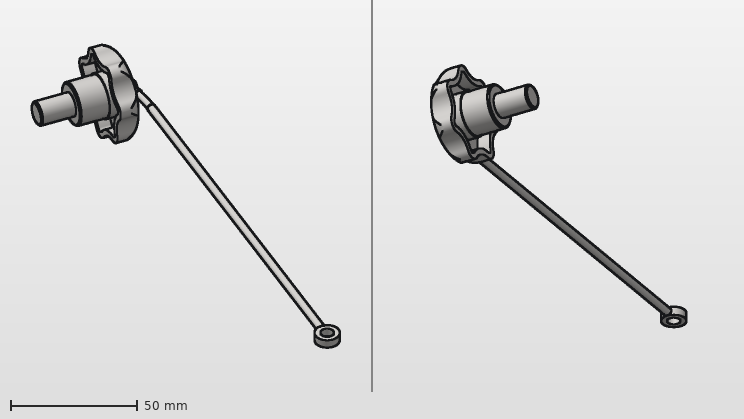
import cadquery as cq
import math


lobe_count = 7
tip_reach = 20.0
tip_radius = 4.1
tip_center_reach = tip_reach - tip_radius
flute_reach = 16.5
dome_reach = 20.0
crown_height = 11.7
crown_radius = 59.6
shoulder_reach = 15.2
wall = 2.5
pocket_depth = 5.8

collar_diameter = 19.0
hub_diameter = 18.0
hub_length = 12.7
stud_diameter = 10.0
stud_length = 15.0
edge_chamfer = 0.6

button_diameter = 8.0
button_base = 10.7
button_foot_diameter = 10.0
button_foot_height = 12.1
button_edge_height = 13.5
button_top = 15.2
button_top_diameter = 5.3
strap_diameter = 3.5
bend_diameter = 3.0
neck_diameter = 3.7
neck_end = 5.1
strap_height = 15.2
strap_start_height = 13.8
bend_end = 15.5
eye_diameter = 10.0
eye_thickness = 3.7
eye_hole_diameter = 5.3
overall_length = 205.5
half_lobe_pitch = math.pi / lobe_count
knob_half_width = tip_center_reach * math.cos(half_lobe_pitch / 2) + tip_radius
eye_center = overall_length - knob_half_width - eye_diameter / 2


def polar(radius, angle):
    return (radius * math.cos(angle), radius * math.sin(angle))


def cylinder(diameter, y_start, y_end):
    """Cylinder on the knob axis between two Y positions, y_end below y_start."""
    return cq.Workplane("XZ", origin=(0, y_start, 0)).circle(diameter / 2).extrude(y_start - y_end)


def lobed_outline(workplane):
    """Rounded tips joined by concave flutes that are tangent to them."""
    across = tip_center_reach * math.sin(half_lobe_pitch)
    drop = flute_reach - tip_center_reach * math.cos(half_lobe_pitch)
    flute_radius = (across**2 + drop**2 - tip_radius**2) / (2 * (tip_radius - drop))
    flute_center_reach = flute_reach + flute_radius
    joint_fraction = tip_radius / (tip_radius + flute_radius)

    def joint(tip_angle, side):
        tip = polar(tip_center_reach, tip_angle)
        flute = polar(flute_center_reach, tip_angle + side * half_lobe_pitch)
        return tuple(t + joint_fraction * (f - t) for t, f in zip(tip, flute))

    first_tip = -math.pi / 2
    outline = workplane.moveTo(*joint(first_tip, -1))
    for lobe in range(lobe_count):
        angle = first_tip + 2 * half_lobe_pitch * lobe
        next_angle = angle + 2 * half_lobe_pitch
        outline = outline.threePointArc(polar(tip_reach, angle), joint(angle, 1))
        outline = outline.threePointArc(polar(flute_reach, angle + half_lobe_pitch), joint(next_angle, -1))
    return outline.close()


def make_head():
    prism = lobed_outline(cq.Workplane("XZ")).extrude(-2 * crown_height)
    crown_center = crown_height - crown_radius
    shoulder_slope = math.asin(shoulder_reach / crown_radius)
    shoulder_height = crown_center + crown_radius * math.cos(shoulder_slope)
    half_slope = shoulder_slope / 2
    crown_mid = (crown_radius * math.sin(half_slope), crown_center + crown_radius * math.cos(half_slope))
    shoulder_radius = (dome_reach - shoulder_reach) / (1 - math.sin(shoulder_slope))
    rim_height = shoulder_height - shoulder_radius * math.cos(shoulder_slope)
    dome = (
        cq.Workplane("XY")
        .moveTo(0, crown_height)
        .threePointArc(crown_mid, (shoulder_reach, shoulder_height))
        .tangentArcPoint((dome_reach, rim_height), relative=False)
        .lineTo(dome_reach, 0)
        .lineTo(0, 0)
        .close()
        .revolve(360, (0, 0, 0), (0, 1, 0))
    )
    pocket = lobed_outline(cq.Workplane("XZ")).offset2D(-wall).extrude(-pocket_depth)
    return prism.intersect(dome).cut(pocket)


def make_hub_and_stud():
    collar = cylinder(collar_diameter, pocket_depth, 0)
    hub = cylinder(hub_diameter, 0, -hub_length).faces("<Y").chamfer(edge_chamfer)
    stud = cylinder(stud_diameter, -hub_length, -hub_length - stud_length).faces("<Y").chamfer(edge_chamfer)
    return collar.union(hub).union(stud)


def make_button():
    return (
        cq.Workplane("XY")
        .moveTo(0, button_base)
        .lineTo(button_foot_diameter / 2, button_base)
        .lineTo(button_foot_diameter / 2, button_foot_height)
        .lineTo(button_diameter / 2, button_foot_height)
        .lineTo(button_diameter / 2, button_edge_height)
        .lineTo(button_top_diameter / 2, button_top)
        .lineTo(0, button_top)
        .close()
        .revolve(360, (0, 0, 0), (0, 1, 0))
    )


def make_strap():
    """Round cord that leaves the button through a neck, bends and runs straight to the eye."""
    bend_start = button_top_diameter / 2
    bend_run = bend_end - bend_start
    bend_rise = strap_height - strap_start_height
    bend_radius = (bend_run**2 + bend_rise**2) / (2 * bend_rise)
    bend_angle = math.degrees(math.asin(bend_run / bend_radius))
    bend_section = cq.Workplane("YZ", origin=(bend_end, strap_height, 0)).circle(bend_diameter / 2)
    bend = bend_section.revolve(bend_angle, (-bend_radius, 0), (-bend_radius, 1))
    neck_plane = cq.Plane(
        origin=(bend_start, strap_start_height, 0),
        xDir=(0, 0, 1),
        normal=(math.cos(math.radians(bend_angle)), math.sin(math.radians(bend_angle)), 0),
    )
    neck = cq.Workplane(neck_plane).circle(neck_diameter / 2).extrude(neck_end - bend_start)
    straight_section = cq.Workplane("YZ", origin=(bend_end, strap_height, 0)).circle(strap_diameter / 2)
    straight = straight_section.extrude(eye_center - bend_end)
    eye_base = cq.Workplane("XY", origin=(eye_center, strap_height, -eye_thickness / 2))
    eye = eye_base.circle(eye_diameter / 2).extrude(eye_thickness)
    eye_hole = eye_base.circle(eye_hole_diameter / 2).extrude(eye_thickness)
    return neck.union(bend).union(straight).union(eye).cut(eye_hole)


result = make_head().union(make_hub_and_stud()).union(make_button()).union(make_strap())